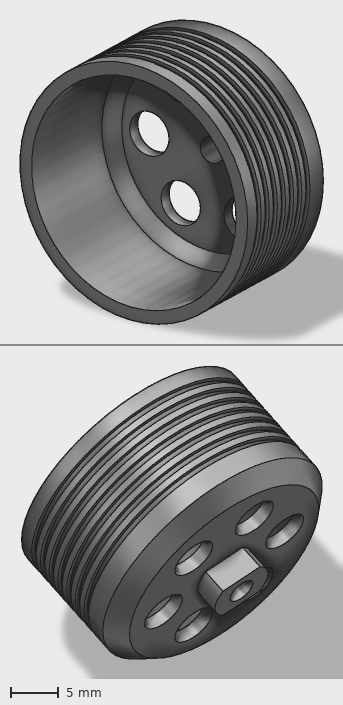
import cadquery as cq

outer_diameter = 29.0
outer_radius = outer_diameter / 2
body_length = 16.0
edge_chamfer = 2.0

bore_radius = 26.0 / 2
floor_radius = 23.0 / 2
floor_depth = 14.5
cone_length = bore_radius - floor_radius

groove_count = 7
groove_width = 0.75
groove_radius = 28.0 / 2
rim_land = 1.75
last_groove_start = 10.75
groove_pitch = (last_groove_start - rim_land) / (groove_count - 1)

vent_count = 6
vent_diameter = 5.0
vent_circle_radius = 8.0
center_hole_diameter = 3.0

boss_diameter = 7.0
boss_flat_width = 5.0
boss_height = 3.0


def plane_at(depth):
    """XZ plane at the given distance from the rim, with its normal along +Y."""
    return cq.Workplane(cq.Plane(origin=(0, depth, 0), xDir=(1, 0, 0), normal=(0, 1, 0)))


def make_body():
    """Revolve the cup wall and floor about the Y axis."""
    profile = [
        (0, floor_depth),
        (floor_radius, floor_depth),
        (bore_radius, floor_depth - cone_length),
        (bore_radius, 0),
        (outer_radius, 0),
        (outer_radius, body_length - edge_chamfer),
        (outer_radius - edge_chamfer, body_length),
        (0, body_length),
    ]
    return cq.Workplane("XY").polyline(profile).close().revolve(360, (0, 0, 0), (0, 1, 0))


def make_groove(start):
    """Ring that cuts one groove beginning at the given distance from the rim."""
    return plane_at(start).circle(outer_radius).circle(groove_radius).extrude(groove_width)


def make_boss():
    """Round boss on the closed end with two flats facing +Z and -Z."""
    boss = plane_at(body_length).circle(boss_diameter / 2).extrude(boss_height)
    flats = plane_at(body_length).rect(boss_diameter, boss_flat_width).extrude(boss_height)
    return boss.intersect(flats)


def make_holes():
    """Centre hole and the ring of vent holes, long enough to pass through everything."""
    total_length = body_length + boss_height
    center = plane_at(0).circle(center_hole_diameter / 2).extrude(total_length)
    vents = (
        plane_at(0)
        .polarArray(vent_circle_radius, 0, 360, vent_count)
        .circle(vent_diameter / 2)
        .extrude(total_length)
    )
    return center.union(vents)


result = make_body()
for index in range(groove_count):
    result = result.cut(make_groove(rim_land + index * groove_pitch))
result = result.union(make_boss()).cut(make_holes())